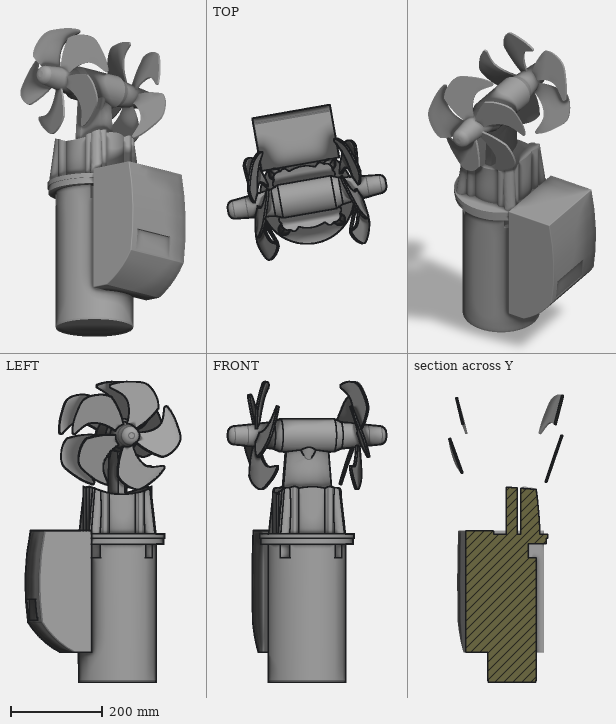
import cadquery as cq
import math

POD_YAW = 10.0

MOTOR_DIAMETER = 171.0
MOTOR_TOP = 303.0
FOOT_HEIGHT = 4.0
FOOT_INSET = 0.5
BOLT_POCKET_DIAMETER = 26.0
BOLT_POCKET_RADIUS = 84.5
BOLT_POCKET_BOTTOM = 273.5

LOWER_FLANGE_DIAMETER = 203.0
UPPER_FLANGE_DIAMETER = 207.5
FLANGE_SPLIT = 315.5
FLANGE_TOP = 325.5

BELL_TOP = 436.0
BELL_CORE_RADIUS = 68.0
WEB_RADIUS = 81.0
WEB_HALF_WIDTH = 23.0
WEB_EDGE_RADIUS = 8.0
LOBE_RADIUS = 12.5
LOBE_BASE_OFFSET = 88.0
LOBE_TOP_OFFSET = 72.5
CORNER_ANGLES = [45, 135, 225, 315]

SADDLE_RADIUS = 148.5
SADDLE_BOTTOM = 413.0

POD_HEIGHT = 542.0
POD_RADIUS = 73.0 / 2
POD_SHOULDER = 59.5
POD_END = 75.0
POD_END_RADIUS = 30.0

LEG_BASE = 396.0
LEG_BASE_HALF_LENGTH = 56.0
LEG_TOP_HALF_LENGTH = 44.0
LEG_HALF_THICKNESS = 18.5
LEG_END_HALF_THICKNESS = 7.0
BOSS_BOTTOM = 489.0
BOSS_TOP_RADIUS = 28.0

HUB_END = 135.0
HUB_END_RADIUS = 47.0 / 2
NOSE_END = 164.0
NOSE_END_RADIUS = 20.5
NOSE_CURVE_MID = 172.5
NOSE_CURVE_RADIUS = 16.0
TIP_END = 176.0
TIP_RADIUS = 6.5
BLADE_COUNT = 5
BLADE_OFFSET = 113.0
BLADE_RAKE = 5.0
BLADE_PITCH = 20.0
BLADE_THICKNESS = 4.5

BOX_WIDTH = 174.0
BOX_CENTER_X = -2.0
BOX_FRONT = 72.5
BOX_BOTTOM = 65.5
BOX_TOP = 333.5
BOX_EDGE_RADIUS = 2.0
BOX_BACK_TOP = 179.0
BOX_BACK_MAX = 191.0
BOX_BACK_MAX_HEIGHT = 231.0
BOX_KNEE = 185.0
BOX_KNEE_HEIGHT = 132.0
BOX_CHIN_BULGE = 158.5
BOX_CHIN_HEIGHT = 99.0
BOX_BACK_BOTTOM = 112.0
LABEL_LEFT = -39.5
LABEL_RIGHT = 69.0
LABEL_BOTTOM = 136.0
LABEL_TOP = 182.0
LABEL_FLOOR = 184.0


def disc(diameter, bottom, top):
    return cq.Workplane("XY").workplane(offset=bottom).circle(diameter / 2).extrude(top - bottom)


def at_corners(shape):
    """Copies a shape made on the +X side to the four corners about the motor axis."""
    return [shape.rotate((0, 0, 0), (0, 0, 1), angle) for angle in CORNER_ANGLES]


def make_motor():
    body = disc(MOTOR_DIAMETER, 0, MOTOR_TOP)
    return body.faces("<Z").chamfer(FOOT_HEIGHT, FOOT_INSET)


def make_bolt_pockets():
    pocket = disc(BOLT_POCKET_DIAMETER, BOLT_POCKET_BOTTOM, MOTOR_TOP)
    return at_corners(pocket.translate((BOLT_POCKET_RADIUS, 0, 0)))


def make_control_box():
    profile = (
        cq.Workplane("YZ", origin=(BOX_CENTER_X, 0, 0))
        .moveTo(BOX_FRONT, BOX_BOTTOM)
        .lineTo(BOX_FRONT, BOX_TOP)
        .lineTo(BOX_BACK_TOP, BOX_TOP)
        .threePointArc((BOX_BACK_MAX, BOX_BACK_MAX_HEIGHT), (BOX_KNEE, BOX_KNEE_HEIGHT))
        .threePointArc((BOX_CHIN_BULGE, BOX_CHIN_HEIGHT), (BOX_BACK_BOTTOM, BOX_BOTTOM))
        .close()
    )
    box = profile.extrude(BOX_WIDTH / 2, both=True)
    return box.edges().fillet(BOX_EDGE_RADIUS)


def make_label_recess():
    width = LABEL_RIGHT - LABEL_LEFT
    depth = BOX_BACK_MAX - LABEL_FLOOR
    height = LABEL_TOP - LABEL_BOTTOM
    recess = cq.Workplane("XY").box(width, depth, height, centered=False)
    return recess.translate((LABEL_LEFT, LABEL_FLOOR, LABEL_BOTTOM))


def make_bell():
    height = BELL_TOP - FLANGE_TOP
    bell = disc(2 * BELL_CORE_RADIUS, FLANGE_TOP, BELL_TOP)
    web = (
        cq.Workplane("XY", origin=(0, 0, FLANGE_TOP))
        .rect(2 * WEB_RADIUS, 2 * WEB_HALF_WIDTH)
        .extrude(height)
        .intersect(disc(2 * WEB_RADIUS, FLANGE_TOP, BELL_TOP))
        .edges("|Z")
        .fillet(WEB_EDGE_RADIUS)
    )
    lobe = (
        cq.Workplane("XY", origin=(LOBE_BASE_OFFSET, 0, FLANGE_TOP))
        .circle(LOBE_RADIUS)
        .workplane(offset=height)
        .center(LOBE_TOP_OFFSET - LOBE_BASE_OFFSET, 0)
        .circle(LOBE_RADIUS)
        .loft()
    )
    for corner in at_corners(web.union(lobe)):
        bell = bell.union(corner)
    saddle = (
        cq.Workplane("YZ", origin=(0, 0, SADDLE_BOTTOM + SADDLE_RADIUS))
        .circle(SADDLE_RADIUS)
        .extrude(UPPER_FLANGE_DIAMETER, both=True)
    )
    return bell.cut(saddle)


def leg_section(plane, half_length):
    return (
        plane.moveTo(-half_length, -LEG_END_HALF_THICKNESS)
        .threePointArc((0, -LEG_HALF_THICKNESS), (half_length, -LEG_END_HALF_THICKNESS))
        .lineTo(half_length, LEG_END_HALF_THICKNESS)
        .threePointArc((0, LEG_HALF_THICKNESS), (-half_length, LEG_END_HALF_THICKNESS))
        .close()
    )


def make_leg():
    base = leg_section(cq.Workplane("XY", origin=(0, 0, LEG_BASE)), LEG_BASE_HALF_LENGTH)
    return leg_section(base.workplane(offset=POD_HEIGHT - LEG_BASE), LEG_TOP_HALF_LENGTH).loft()


def make_leg_boss():
    """An upright cone under the pod that shows through both bulged faces of the leg."""
    boss_top = POD_HEIGHT - POD_RADIUS / 2
    profile = [
        (0, BOSS_BOTTOM),
        (LEG_HALF_THICKNESS, BOSS_BOTTOM),
        (BOSS_TOP_RADIUS, boss_top),
        (0, boss_top),
    ]
    return cq.Workplane("XZ").polyline(profile).close().revolve(360, (0, 0, 0), (0, 1, 0))


def spin_about_pod(profile):
    """Turns a closed (X, radius) outline about the pod axis."""
    return profile.close().revolve(360, (0, 0, 0), (1, 0, 0))


def make_pod():
    outline = cq.Workplane("XZ", origin=(0, 0, POD_HEIGHT)).polyline(
        [
            (-POD_END, 0),
            (-POD_END, POD_END_RADIUS),
            (-POD_SHOULDER, POD_RADIUS),
            (POD_SHOULDER, POD_RADIUS),
            (POD_END, POD_END_RADIUS),
            (POD_END, 0),
        ]
    )
    return spin_about_pod(outline)


def make_housing():
    housing = make_motor().union(disc(LOWER_FLANGE_DIAMETER, MOTOR_TOP, FLANGE_SPLIT))
    for pocket in make_bolt_pockets():
        housing = housing.cut(pocket)
    housing = housing.union(disc(UPPER_FLANGE_DIAMETER, FLANGE_SPLIT, FLANGE_TOP))
    housing = housing.union(make_control_box()).cut(make_label_recess())
    for part in (make_bell(), make_leg(), make_leg_boss(), make_pod()):
        housing = housing.union(part)
    return housing


def make_hub():
    outline = (
        cq.Workplane("XZ", origin=(0, 0, POD_HEIGHT))
        .moveTo(-POD_END, 0)
        .lineTo(-POD_END, POD_END_RADIUS)
        .lineTo(-HUB_END, HUB_END_RADIUS)
        .lineTo(-NOSE_END, NOSE_END_RADIUS)
        .threePointArc((-NOSE_CURVE_MID, NOSE_CURVE_RADIUS), (-TIP_END, TIP_RADIUS))
        .lineTo(-TIP_END, 0)
    )
    return spin_about_pod(outline)


def make_blade():
    """A flat hooked blade reaching from the hub toward -Y, pitched about its length and raked to the pod."""
    pitch = math.radians(BLADE_PITCH)
    plane = cq.Plane(
        origin=(-BLADE_OFFSET, 0, POD_HEIGHT),
        xDir=(0, -1, 0),
        normal=(-math.cos(pitch), 0, math.sin(pitch)),
    )
    root_trailing = (16.5, 8.0)
    trailing_edge = [(63.5, 14.0), (80.5, 27.0), (88.5, 47.0), (92.0, 63.5)]
    hook_tip = (94.5, 67.5)
    hook_outer = (99.0, 67.0)
    outer_edge = [(109.5, 48.0), (120.0, 13.0), (122.0, -8.0), (110.0, -30.0), (90.0, -46.0), (76.5, -51.0)]
    leading_edge = [(59.0, -43.5), (16.5, -13.0)]
    blade = (
        cq.Workplane(plane)
        .moveTo(*root_trailing)
        .spline(trailing_edge, includeCurrent=True)
        .threePointArc(hook_tip, hook_outer)
        .spline(outer_edge, includeCurrent=True)
        .spline(leading_edge, includeCurrent=True)
        .close()
        .extrude(BLADE_THICKNESS / 2, both=True)
    )
    return blade.rotate((-BLADE_OFFSET, 0, 0), (-BLADE_OFFSET, 0, 1), BLADE_RAKE)


def make_propeller():
    propeller = make_hub()
    blade = make_blade()
    for index in range(BLADE_COUNT):
        angle = index * 360 / BLADE_COUNT
        propeller = propeller.union(blade.rotate((0, 0, POD_HEIGHT), (1, 0, POD_HEIGHT), angle))
    return propeller


def turned(body):
    return body.rotate((0, 0, 0), (0, 0, 1), POD_YAW).val()


housing = make_housing()
left_propeller = make_propeller()
right_propeller = left_propeller.mirror("YZ")
result = cq.Compound.makeCompound([turned(body) for body in (housing, left_propeller, right_propeller)])